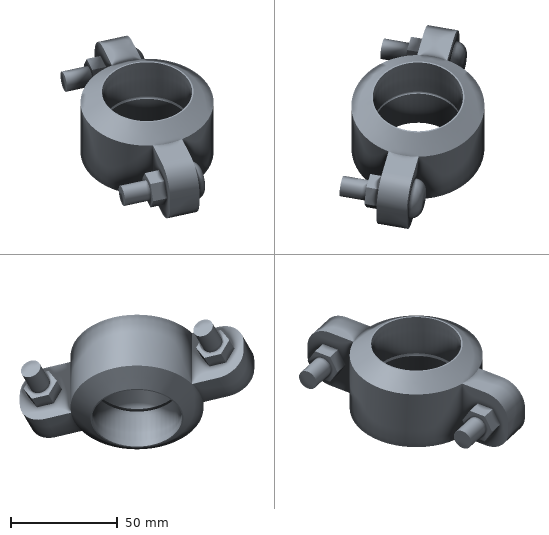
import cadquery as cq
import math

ring_diameter = 62.4
ring_height = 43.7
band_height = 30.7
face_diameter = 43.6
bore_diameter = 42.3
groove_width = 1.6
groove_depth = 2.8

overall_length = 112.1
lug_thickness = 14.5
lug_corner_radius = 12.5

bolt_spacing = 86.4
bolt_diameter = 9.8
bolt_tip_y = -26.8
nut_across_flats = 14.5
nut_thickness = 6.8
head_diameter = 19.0
head_height = 5.5
head_edge_radius = 5.4

lug_face_y = lug_thickness / 2


def cylinder_z(diameter, height):
    """Cylinder along Z, centred on the origin."""
    return cq.Workplane("XY").circle(diameter / 2).extrude(height / 2, both=True)


def ring_body():
    """Solid of revolution with a straight band and a cone at each end."""
    face_radius = face_diameter / 2
    ring_radius = ring_diameter / 2
    end_z = ring_height / 2
    band_z = band_height / 2
    return (
        cq.Workplane("XZ")
        .moveTo(0, -end_z)
        .lineTo(face_radius, -end_z)
        .lineTo(ring_radius, -band_z)
        .lineTo(ring_radius, band_z)
        .lineTo(face_radius, end_z)
        .lineTo(0, end_z)
        .close()
        .revolve(360, (0, 0, 0), (0, 1, 0))
    )


def lug_bar():
    """One bar across the ring; its rounded ends become the two lugs."""
    return (
        cq.Workplane("XY")
        .box(overall_length, lug_thickness, band_height)
        .edges("|Y")
        .fillet(lug_corner_radius)
    )


def bolt(x):
    """Rounded head on the +Y lug face, nut and shank on the -Y face."""
    nut_across_corners = nut_across_flats / math.cos(math.pi / 6)
    shank = (
        cq.Workplane("XZ", origin=(x, lug_face_y, 0))
        .circle(bolt_diameter / 2)
        .extrude(lug_face_y - bolt_tip_y)
    )
    nut = (
        cq.Workplane("XZ", origin=(x, -lug_face_y, 0))
        .polygon(6, nut_across_corners)
        .extrude(nut_thickness)
    )
    head = (
        cq.Workplane("XZ", origin=(x, lug_face_y, 0))
        .circle(head_diameter / 2)
        .extrude(-head_height)
        .faces(">Y")
        .edges()
        .fillet(head_edge_radius)
    )
    return shank.union(nut).union(head)


def bore():
    """Through bore with the groove, as one cutting solid."""
    groove = cylinder_z(bore_diameter + 2 * groove_depth, groove_width)
    return cylinder_z(bore_diameter, ring_height).union(groove)


result = ring_body().union(lug_bar()).cut(bore())
for bolt_x in (-bolt_spacing / 2, bolt_spacing / 2):
    result = result.union(bolt(bolt_x))